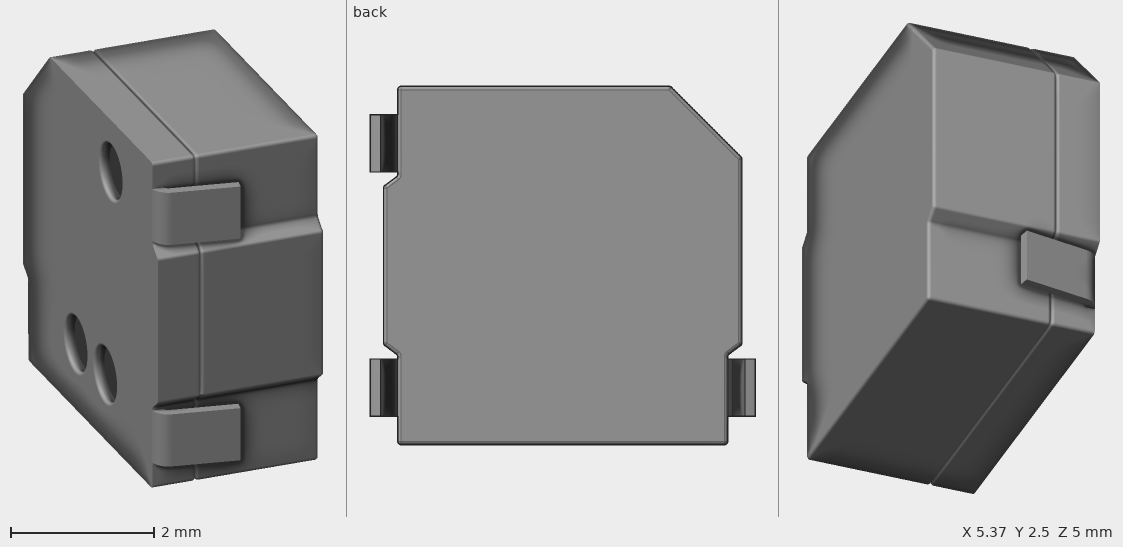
import cadquery as cq
import math

BODY_SIZE = 5.0
BODY_DEPTH = 2.5
BASE_DEPTH = 0.65
CORNER_CHAMFER = 1.0
EDGE_RADIUS = 0.05

RELIEF_INSET = 0.2
SHOULDER_RISE = 0.15
SHOULDER_Z = 1.1

RECESS_DIAMETER = 0.8
RECESS_MOUTH_DIAMETER = 0.9
RECESS_DEPTH = 0.15
RECESS_CENTRES = [(-0.55, -1.5), (0.55, -1.5), (0.75, 1.7)]

LEAD_SPAN = 5.37
LEAD_WIDTH = 0.8
LEAD_THICKNESS = 0.15
LEAD_HEIGHT = 1.2
LEAD_ROOT_INSET = 1.0
BEND_INNER_RADIUS = 0.1
LEG_LEAN = 10.0
LEAD_ROW_Z = 1.7
LEAD_POSITIONS = [(-1, -LEAD_ROW_Z), (1, -LEAD_ROW_Z), (1, LEAD_ROW_Z)]

HALF = BODY_SIZE / 2
NARROW = HALF - RELIEF_INSET


def block(start_y, depth, rounded_faces):
    """Extrude the housing outline from start_y towards +Y and round its edges."""
    outline = [
        (-NARROW, -HALF),
        (NARROW, -HALF),
        (NARROW, -SHOULDER_Z - SHOULDER_RISE),
        (HALF, -SHOULDER_Z),
        (HALF, SHOULDER_Z),
        (NARROW, SHOULDER_Z + SHOULDER_RISE),
        (NARROW, HALF),
        (-HALF + CORNER_CHAMFER, HALF),
        (-HALF, HALF - CORNER_CHAMFER),
        (-HALF, -SHOULDER_Z),
        (-NARROW, -SHOULDER_Z - SHOULDER_RISE),
    ]
    solid = cq.Workplane("XZ", origin=(0, start_y, 0)).polyline(outline).close().extrude(-depth)
    solid = solid.edges("|Y").fillet(EDGE_RADIUS)
    return solid.faces(rounded_faces).edges().fillet(EDGE_RADIUS)


def recess(x, z):
    """Blind round recess whose mouth is flared by a quarter-round lip."""
    bore_radius = RECESS_DIAMETER / 2
    mouth_radius = RECESS_MOUTH_DIAMETER / 2
    lip = mouth_radius - bore_radius
    lip_middle = (mouth_radius - lip * math.sqrt(0.5), lip - lip * math.sqrt(0.5))
    profile = (
        cq.Workplane("XY")
        .lineTo(mouth_radius, 0)
        .threePointArc(lip_middle, (bore_radius, lip))
        .lineTo(bore_radius, RECESS_DEPTH)
        .lineTo(0, RECESS_DEPTH)
        .close()
    )
    return profile.revolve(360, (0, 0), (0, 1)).translate((x, 0, z))


def lead(side, z):
    """Lead with a flat foot flush with the front face and a leg leaning outwards."""
    outer_radius = BEND_INNER_RADIUS + LEAD_THICKNESS
    lean = math.radians(LEG_LEAN)
    turn = math.radians(90 - LEG_LEAN)

    leg_length = (LEAD_HEIGHT - outer_radius + BEND_INNER_RADIUS * math.sin(lean)) / math.cos(lean)
    leg_reach = leg_length * math.sin(lean)
    leg_rise = leg_length * math.cos(lean)
    bend_x = LEAD_SPAN / 2 - leg_reach - outer_radius * math.cos(lean)

    def on_bend(radius, angle):
        return bend_x + radius * math.sin(angle), outer_radius - radius * math.cos(angle)

    outer_end = on_bend(outer_radius, turn)
    inner_end = on_bend(BEND_INNER_RADIUS, turn)
    root_x = HALF - LEAD_ROOT_INSET
    profile = (
        cq.Workplane("XY", origin=(0, 0, z - LEAD_WIDTH / 2))
        .moveTo(root_x, 0)
        .lineTo(bend_x, 0)
        .threePointArc(on_bend(outer_radius, turn / 2), outer_end)
        .lineTo(outer_end[0] + leg_reach, outer_end[1] + leg_rise)
        .lineTo(inner_end[0] + leg_reach, inner_end[1] + leg_rise)
        .lineTo(*inner_end)
        .threePointArc(on_bend(BEND_INNER_RADIUS, turn / 2), (bend_x, LEAD_THICKNESS))
        .lineTo(root_x, LEAD_THICKNESS)
        .close()
    )
    solid = profile.extrude(LEAD_WIDTH)
    return solid if side > 0 else solid.mirror("YZ")


def lead_slot(side, z):
    """Slot for the flat foot, open at the front face and at the side wall."""
    slot_x = side * (HALF - LEAD_ROOT_INSET / 2)
    slot = cq.Workplane("XY").box(LEAD_ROOT_INSET, LEAD_THICKNESS, LEAD_WIDTH)
    return slot.translate((slot_x, LEAD_THICKNESS / 2, z))


leads = [lead(side, z) for side, z in LEAD_POSITIONS]

housing = block(0, BASE_DEPTH, ">Y").union(block(BASE_DEPTH, BODY_DEPTH - BASE_DEPTH, "<Y or >Y"))
for x, z in RECESS_CENTRES:
    housing = housing.cut(recess(x, z))
for (side, z), body in zip(LEAD_POSITIONS, leads):
    housing = housing.cut(lead_slot(side, z)).cut(body)

result = cq.Compound.makeCompound([housing.solids().val(), *[body.val() for body in leads]])